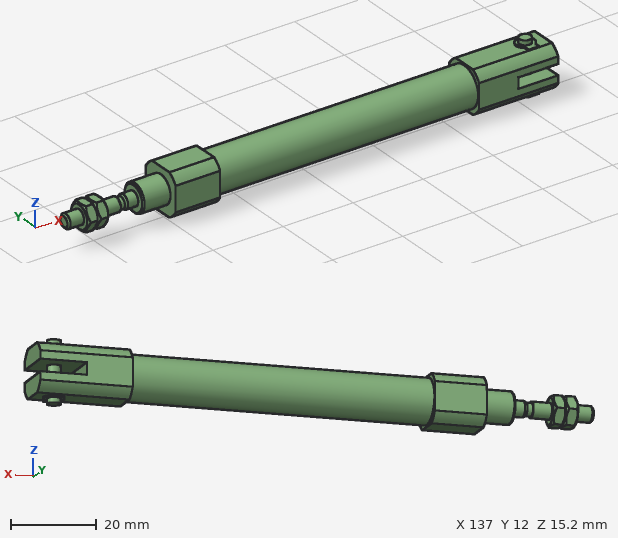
import cadquery as cq
import math

overall_length = 137.0
nut_start = 4.4
groove_start = 15.0
groove_end = 17.0
collar_start = 19.9
front_cap_start = 27.7
barrel_start = 40.4
rear_cap_start = 114.4
slot_start = 125.6
pin_x = 131.8

cap_diameter = 14.0
cap_across_flats = 12.0
barrel_diameter = 11.2
collar_diameter = 8.0
collar_chamfer = 0.4
slot_height = 3.0

rod_diameter = 4.0
rod_chamfer = 0.5
rod_length = barrel_start
groove_diameter = 3.3
groove_taper = 0.7

nut_count = 2
nut_thickness = 3.0
nut_across_flats = 7.0
nut_across_corners = nut_across_flats / math.cos(math.pi / 6)
nut_face_diameter = 6.5
nut_chamfer_angle = math.radians(35)

pin_diameter = 3.3
pin_length = 15.2
retainer_diameter = 5.1
retainer_thickness = 0.3
retainer_tab_width = 3.0
retainer_tab_reach = 3.5


def axial_cylinder(diameter, start, end):
    """Cylinder on the X axis between two stations."""
    return cq.Workplane("YZ", origin=(start, 0, 0)).circle(diameter / 2).extrude(end - start)


def make_cap(start, end):
    """Round cap with four flats around the X axis."""
    flats = (
        cq.Workplane("YZ", origin=(start, 0, 0))
        .rect(cap_across_flats, cap_across_flats)
        .extrude(end - start)
    )
    return axial_cylinder(cap_diameter, start, end).intersect(flats)


def make_housing():
    """Threaded collar, front cap, barrel and slotted rear clevis."""
    collar = axial_cylinder(collar_diameter, collar_start, front_cap_start)
    collar = collar.faces("<X").chamfer(collar_chamfer)
    body = (
        collar
        .union(make_cap(front_cap_start, barrel_start))
        .union(axial_cylinder(barrel_diameter, barrel_start, rear_cap_start))
        .union(make_cap(rear_cap_start, overall_length))
    )
    rod_bore = axial_cylinder(rod_diameter, collar_start, rod_length)
    clevis_slot = cq.Workplane("XY").box(
        overall_length - slot_start, cap_across_flats, slot_height, centered=(False, True, True)
    ).translate((slot_start, 0, 0))
    pin_hole = cq.Workplane("XY").center(pin_x, 0).circle(pin_diameter / 2).extrude(pin_length / 2, both=True)
    return body.cut(rod_bore).cut(clevis_slot).cut(pin_hole)


def make_rod():
    """Rod with a chamfered tip and an undercut that tapers back to full size."""
    rod_radius = rod_diameter / 2
    groove_radius = groove_diameter / 2
    profile = [
        (0, 0),
        (0, rod_radius - rod_chamfer),
        (rod_chamfer, rod_radius),
        (groove_start, rod_radius),
        (groove_start, groove_radius),
        (groove_end - groove_taper, groove_radius),
        (groove_end, rod_radius),
        (rod_length, rod_radius),
        (rod_length, 0),
    ]
    return cq.Workplane("XY").polyline(profile).close().revolve(360, (0, 0, 0), (1, 0, 0))


def make_nut(start):
    """Hexagon nut with corners on the Y axis, chamfered on both faces."""
    hexagon = cq.Workplane("YZ", origin=(start, 0, 0)).polygon(6, nut_across_corners).extrude(nut_thickness)
    face_radius = nut_face_diameter / 2
    corner_radius = nut_across_corners / 2
    chamfer_depth = (corner_radius - face_radius) * math.tan(nut_chamfer_angle)
    end = start + nut_thickness
    chamfer_profile = [
        (start, 0),
        (start, face_radius),
        (start + chamfer_depth, corner_radius),
        (end - chamfer_depth, corner_radius),
        (end, face_radius),
        (end, 0),
    ]
    envelope = cq.Workplane("XY").polyline(chamfer_profile).close().revolve(360, (0, 0, 0), (1, 0, 0))
    return hexagon.intersect(envelope).cut(axial_cylinder(rod_diameter, start, end))


def make_retainer():
    """Thin disc with a tab toward -Y, lying on the upper flat of the clevis."""
    base = cq.Workplane("XY", origin=(pin_x, 0, cap_across_flats / 2))
    disc = base.circle(retainer_diameter / 2).extrude(retainer_thickness)
    tab = base.center(0, -retainer_tab_reach / 2).rect(retainer_tab_width, retainer_tab_reach)
    return disc.union(tab.extrude(retainer_thickness))


def make_pin():
    """Clevis pin along Z with matching retainers above and below."""
    shank = cq.Workplane("XY").center(pin_x, 0).circle(pin_diameter / 2).extrude(pin_length / 2, both=True)
    retainer = make_retainer()
    return shank.union(retainer).union(retainer.mirror("XY"))


housing = make_housing()
rod = make_rod()
nuts = [make_nut(nut_start + index * nut_thickness) for index in range(nut_count)]
clevis_pin = make_pin()

result = cq.Compound.makeCompound(
    [housing.val(), rod.val(), *[nut.val() for nut in nuts], clevis_pin.val()]
)